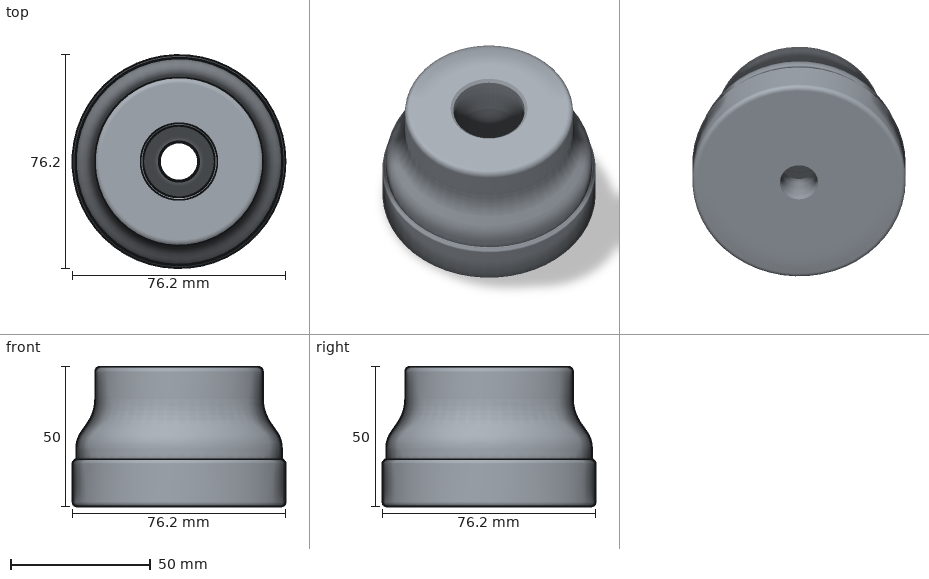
import cadquery as cq
import math

BASE_RADIUS = 38.1
BASE_HEIGHT = 16.85
BOTTOM_FILLET = 1.7
SHOULDER_START = 15.4
SHOULDER_TOP_RADIUS = 37.1
SHOULDER_ARC_MID = (38.0, 15.8)
SHOULDER_ARC_END = (37.8, 16.1)
HUB_RADIUS = 21.3

CAP_RADIUS = 36.8
NECK_RADIUS = 30.0
TOTAL_HEIGHT = 50.0
TOP_FILLET = 2.0
NECK_BOTTOM = 38.3
FLARE_RADIUS = 15.0
BULGE_RADIUS = 10.3
FLARE_ANGLE = math.radians(35)

BORE_RADIUS = 12.7
BORE_CHAMFER = 1.0
HUB_TOP = TOTAL_HEIGHT - 4.0
BORE_FLOOR = BASE_HEIGHT
RELIEF_RADIUS = BORE_RADIUS + 0.15
RELIEF_TOP = TOTAL_HEIGHT - 16.0
HOLE_RADIUS = 6.8
HOLE_CHAMFER = 0.45


def disc(radius, bottom, top):
    """Cylinder on the Z axis between two heights."""
    return cq.Workplane("XY").workplane(offset=bottom).circle(radius).extrude(top - bottom)


def revolve_profile(profile):
    """Turn a closed (radius, height) outline about the Z axis."""
    return profile.close().revolve(360, (0, 0, 0), (0, 1, 0))


def make_base():
    foot = revolve_profile(
        cq.Workplane("XZ")
        .lineTo(BASE_RADIUS, 0)
        .lineTo(BASE_RADIUS, SHOULDER_START)
        .threePointArc(SHOULDER_ARC_MID, SHOULDER_ARC_END)
        .lineTo(SHOULDER_TOP_RADIUS, BASE_HEIGHT)
        .lineTo(0, BASE_HEIGHT)
    )
    foot = foot.edges("<Z").fillet(BOTTOM_FILLET)
    base = foot.union(disc(HUB_RADIUS, BASE_HEIGHT, HUB_TOP))

    base = base.cut(disc(BORE_RADIUS, BORE_FLOOR, HUB_TOP))
    base = base.cut(disc(RELIEF_RADIUS, BORE_FLOOR, RELIEF_TOP))
    base = base.cut(disc(HOLE_RADIUS, 0, BORE_FLOOR))
    rim_cone = cq.Solid.makeCone(
        HOLE_RADIUS, HOLE_RADIUS + HOLE_CHAMFER, HOLE_CHAMFER,
        pnt=cq.Vector(0, 0, BORE_FLOOR - HOLE_CHAMFER),
    )
    return base.cut(cq.Workplane(rim_cone))


def make_cap():
    sine = math.sin(FLARE_ANGLE)
    cosine = math.cos(FLARE_ANGLE)
    half_sine = math.sin(FLARE_ANGLE / 2)
    half_cosine = math.cos(FLARE_ANGLE / 2)

    flare_center = NECK_RADIUS + FLARE_RADIUS
    flare_mid = (flare_center - FLARE_RADIUS * half_cosine, NECK_BOTTOM - FLARE_RADIUS * half_sine)
    flare_end = (flare_center - FLARE_RADIUS * cosine, NECK_BOTTOM - FLARE_RADIUS * sine)

    bulge_center = CAP_RADIUS - BULGE_RADIUS
    bulge_start_radius = bulge_center + BULGE_RADIUS * cosine
    cone_height = (bulge_start_radius - flare_end[0]) / math.tan(FLARE_ANGLE)
    bulge_start = (bulge_start_radius, flare_end[1] - cone_height)
    skirt_top = bulge_start[1] - BULGE_RADIUS * sine
    bulge_mid = (bulge_center + BULGE_RADIUS * half_cosine, skirt_top + BULGE_RADIUS * half_sine)

    cap = revolve_profile(
        cq.Workplane("XZ")
        .moveTo(0, BASE_HEIGHT)
        .lineTo(CAP_RADIUS, BASE_HEIGHT)
        .lineTo(CAP_RADIUS, skirt_top)
        .threePointArc(bulge_mid, bulge_start)
        .lineTo(*flare_end)
        .threePointArc(flare_mid, (NECK_RADIUS, NECK_BOTTOM))
        .lineTo(NECK_RADIUS, TOTAL_HEIGHT)
        .lineTo(0, TOTAL_HEIGHT)
    )
    cap = cap.edges(">Z").fillet(TOP_FILLET)
    cap = cap.cut(disc(HUB_RADIUS, BASE_HEIGHT, HUB_TOP))
    cap = cap.cut(disc(BORE_RADIUS, HUB_TOP, TOTAL_HEIGHT))
    bore_rim = cq.selectors.RadiusNthSelector(0)
    return cap.faces(">Z").edges(bore_rim).chamfer(BORE_CHAMFER)


base = make_base()
cap = make_cap()

result = cq.Compound.makeCompound([base.val(), cap.val()])